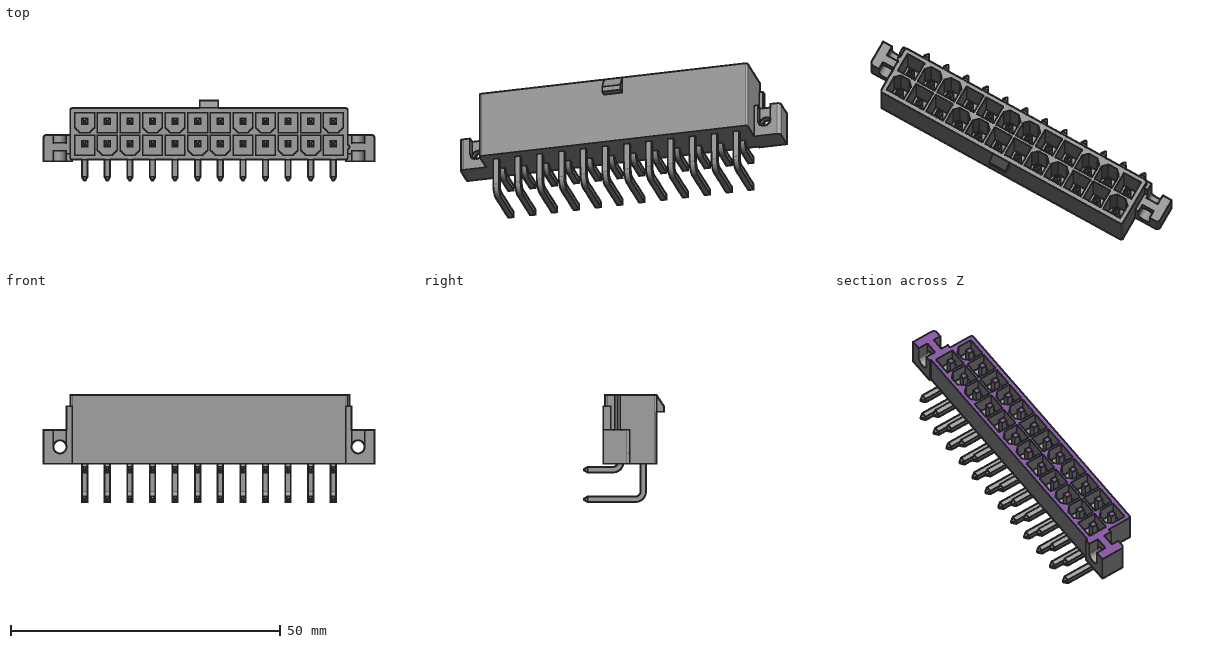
import cadquery as cq


COLUMNS = 12
PITCH = 4.2

BODY_LENGTH = 51.6
BODY_DEPTH = 9.6
BODY_HEIGHT = 12.8
BODY_CENTER_Y = -0.3
FRONT_ROUNDING = 0.4
BACK_ROUNDING = 0.4
BODY_FRONT = BODY_CENTER_Y - BODY_DEPTH / 2
BODY_BACK = BODY_CENTER_Y + BODY_DEPTH / 2

POCKET_SIZE = 3.65
POCKETS_CENTER_Y = -0.33
POCKET_CORNER_CUT = 0.9
POCKET_DEPTH = 10.0

PIN_SIZE = 1.06
PINS_CENTER_Y = -0.06
PIN_RECESS = 3.0
PIN_TAPER = 0.7
PIN_TIP_SIZE = 0.25
BEND_INNER_RADIUS = 0.95
TAIL_ROW_SPACING = 5.5
OVERALL_HEIGHT = 19.93
REAR_TAIL_Z = BODY_HEIGHT - OVERALL_HEIGHT + PIN_SIZE / 2
FRONT_TAIL_Z = REAR_TAIL_Z + TAIL_ROW_SPACING

OVERALL_DEPTH = 14.9
LATCH_WIDTH = 3.5
LATCH_PROJECTION = 1.4
LATCH_HEIGHT = 3.15
LATCH_LOW_Z = BODY_HEIGHT - LATCH_HEIGHT
LATCH_NOSE_HEIGHT = 1.0
TAIL_TIP_Y = BODY_BACK + LATCH_PROJECTION - OVERALL_DEPTH

OVERALL_LENGTH = 61.6
FLANGE_HEIGHT = 6.3
FLANGE_DEPTH = 4.95
FLANGE_ROUNDING = 0.65
FLANGE_STEP = 0.34
FLANGE_FRONT = BODY_FRONT - FLANGE_STEP
FLANGE_BACK = FLANGE_FRONT + FLANGE_DEPTH
RAIL_HEIGHT = 10.7
RAIL_DEPTH = 1.4
RAIL_OUTSET = 0.7
RAIL_OUTER_X = BODY_LENGTH / 2 + RAIL_OUTSET
RAIL_INNER_X = BODY_LENGTH / 2 - FRONT_ROUNDING
HOLE_DIAMETER = 2.4
HOLE_X = RAIL_OUTER_X + HOLE_DIAMETER / 2
HOLE_Z = FLANGE_HEIGHT / 2
WEB_THICKNESS = 1.5
FRONT_SLOT_DEPTH = 1.95
WEB_FRONT = FLANGE_FRONT + FRONT_SLOT_DEPTH
WEB_BACK = WEB_FRONT + WEB_THICKNESS

RIB_WIDTH = 1.0
RIB_PROJECTION = 0.4
RIB_Y = (WEB_FRONT + WEB_BACK) / 2


def box(x_range, y_range, z_range):
    """Box spanning the given (low, high) range along each axis."""
    ranges = (x_range, y_range, z_range)
    size = [high - low for low, high in ranges]
    corner = [low for low, high in ranges]
    return cq.Workplane("XY").box(*size, centered=False).translate(tuple(corner))


def column_x(column):
    return (column - (COLUMNS - 1) / 2) * PITCH


def make_housing():
    housing = box(
        (-BODY_LENGTH / 2, BODY_LENGTH / 2),
        (BODY_FRONT, BODY_BACK),
        (0, BODY_HEIGHT),
    )
    housing = housing.faces("<Y").edges("|Z").fillet(FRONT_ROUNDING)
    return housing.faces(">Y").edges("|Z").fillet(BACK_ROUNDING)


def make_pocket(column, row_side):
    """Pocket cutter; half of the pockets have both front corners cut, as plug keying."""
    y = POCKETS_CENTER_Y + row_side * PITCH / 2
    pocket = cq.Workplane("XY").box(
        POCKET_SIZE, POCKET_SIZE, POCKET_DEPTH, centered=(True, True, False)
    )
    outer_of_four = column % 4 in (0, 3)
    is_rear = row_side > 0
    if outer_of_four == is_rear:
        pocket = pocket.faces("<Y").edges("|Z").chamfer(POCKET_CORNER_CUT)
    return pocket.translate((column_x(column), y, BODY_HEIGHT - POCKET_DEPTH))


def make_taper(base, direction):
    """Pyramid point of a pin, growing from base along direction."""
    plane = cq.Plane(origin=base, xDir=(1, 0, 0), normal=direction)
    return (
        cq.Workplane(plane)
        .rect(PIN_SIZE, PIN_SIZE)
        .workplane(offset=PIN_TAPER)
        .rect(PIN_TIP_SIZE, PIN_TIP_SIZE)
        .loft(ruled=True)
    )


def make_pin(row_side, tail_z):
    """Bent pin at X = 0: upright shank, rounded bend and horizontal tail, both ends pointed."""
    y = PINS_CENTER_Y + row_side * PITCH / 2
    shank_top = BODY_HEIGHT - PIN_RECESS - PIN_TAPER
    tail_end = TAIL_TIP_Y + PIN_TAPER
    bend_radius = BEND_INNER_RADIUS + PIN_SIZE / 2
    path = (
        cq.Workplane("YZ")
        .moveTo(y, shank_top)
        .lineTo(y, tail_z + bend_radius)
        .radiusArc((y - bend_radius, tail_z), bend_radius)
        .lineTo(tail_end, tail_z)
    )
    bar = cq.Workplane("XY", origin=(0, y, shank_top)).rect(PIN_SIZE, PIN_SIZE).sweep(path)
    top_point = make_taper((0, y, shank_top), (0, 0, 1))
    tail_point = make_taper((0, tail_end, tail_z), (0, -1, 0))
    return bar.union(top_point).union(tail_point)


def make_latch():
    return (
        cq.Workplane("YZ")
        .moveTo(BODY_BACK, LATCH_LOW_Z)
        .lineTo(BODY_BACK + LATCH_PROJECTION, LATCH_LOW_Z)
        .lineTo(BODY_BACK + LATCH_PROJECTION, LATCH_LOW_Z + LATCH_NOSE_HEIGHT)
        .lineTo(BODY_BACK, BODY_HEIGHT)
        .close()
        .extrude(LATCH_WIDTH / 2, both=True)
    )


def make_flange():
    """Flange at the +X end: a cross hole, opened to the top except under a middle web."""
    flange = box(
        (BODY_LENGTH / 2, OVERALL_LENGTH / 2),
        (FLANGE_FRONT, FLANGE_BACK),
        (0, FLANGE_HEIGHT),
    )
    flange = flange.edges("|Z and >X and >Y").fillet(FLANGE_ROUNDING)
    rail = box(
        (RAIL_INNER_X, RAIL_OUTER_X),
        (FLANGE_FRONT, FLANGE_FRONT + RAIL_DEPTH),
        (0, RAIL_HEIGHT),
    )
    hole = (
        cq.Workplane("XZ", origin=(HOLE_X, FLANGE_BACK, HOLE_Z))
        .circle(HOLE_DIAMETER / 2)
        .extrude(FLANGE_DEPTH)
    )
    flange = flange.union(rail).cut(hole)
    slot_x = (HOLE_X - HOLE_DIAMETER / 2, HOLE_X + HOLE_DIAMETER / 2)
    for slot_y in ((FLANGE_FRONT, WEB_FRONT), (WEB_BACK, FLANGE_BACK)):
        flange = flange.cut(box(slot_x, slot_y, (HOLE_Z, FLANGE_HEIGHT)))
    return flange


def make_rib():
    end_x = BODY_LENGTH / 2
    return (
        cq.Workplane("XY")
        .moveTo(end_x, RIB_Y - RIB_WIDTH / 2)
        .lineTo(end_x + RIB_PROJECTION, RIB_Y)
        .lineTo(end_x, RIB_Y + RIB_WIDTH / 2)
        .close()
        .extrude(BODY_HEIGHT)
    )


flange_right = make_flange()
flange_left = flange_right.mirror("YZ")
result = make_housing().union(make_latch()).union(make_rib())
result = result.union(flange_right).union(flange_left)

pockets = []
pins = []
for row_side, tail_z in ((-1, FRONT_TAIL_Z), (1, REAR_TAIL_Z)):
    row_pin = make_pin(row_side, tail_z)
    for column in range(COLUMNS):
        pockets.append(make_pocket(column, row_side).val())
        pins.append(row_pin.translate((column_x(column), 0, 0)).val())

result = result.cut(cq.Workplane(cq.Compound.makeCompound(pockets)))
result = result.union(cq.Workplane(cq.Compound.makeCompound(pins)))